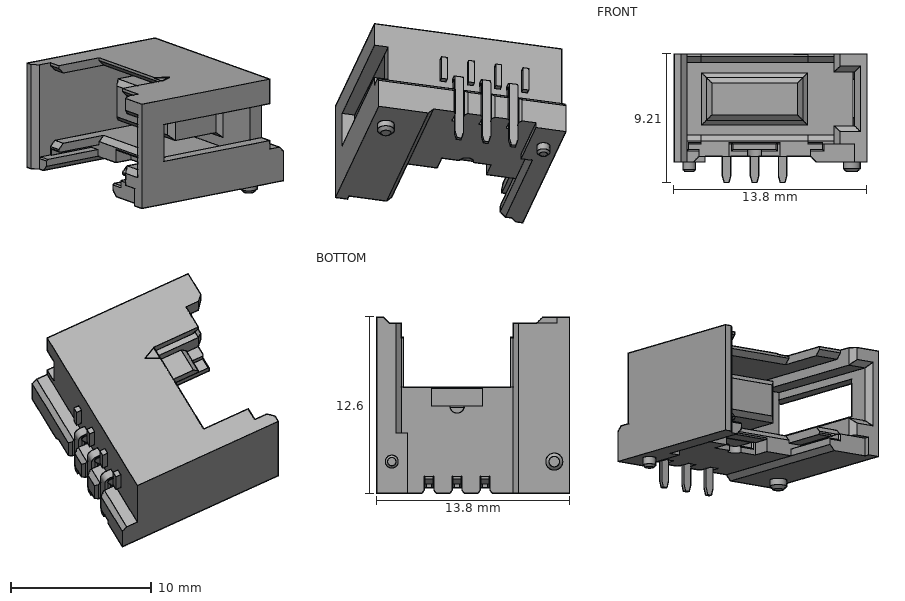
import cadquery as cq

WIDTH = 13.8
DEPTH = 12.6
HEIGHT = 7.73
UPPER_DEPTH = 11.38
BASE_HEIGHT = 2.55
BASE_CHAMFER = 0.36

CAVITY_LEFT = 0.92
CAVITY_RIGHT = 11.44
CAVITY_BACK = 10.35
FLOOR_Z = 1.92
CEILING_Z = 7.12
ENTRY_CHAMFER = 0.43
PLATE_BEVEL = 0.4

PLATE_FRONT = 1.41
NOTCH_LEFT = 1.93
NOTCH_RIGHT = 9.56
NOTCH_BACK = 5.0

KEY_X = 12.9
KEY_DRAFT = 0.11
KEY_FLARE = 0.4
KEY_BOTTOM = 2.58
KEY_TOP = 6.45
WINDOW_FRONT = 1.97
WINDOW_BOTTOM = 3.17
WINDOW_TOP = 5.9

TONGUE_LEFT = 1.97
TONGUE_RIGHT = 9.55
TONGUE_BOTTOM = 2.64
TONGUE_TOP = 6.38
TONGUE_FRONT = 5.99
ROOT_BEVEL = 0.35
TIP_BEVEL = 0.39

SLOT_BOTTOM = 0.9
SLOT_TOP = 1.3
SLOT_LEFT = 1.04
SLOT_RIGHT = 10.6
SLOT_LEAD = 0.104
RAIL_LEFT = 1.78
RAIL_RIGHT = 9.75
RAIL_CHAMFER = 0.39
BELLY_Z = 0.4
FOOT_RIGHT = 2.22
FOOT_FRONT = 8.28

POCKET_WIDTH = 3.63
POCKET_BACK = 6.35
SHELL_SLOT_WIDTH = 3.08
SHELL_SLOT_BACK = 8.28
RELIEF_RADIUS = 0.51

PIN_CENTER_X = 5.75
PIN_PITCH = 2.0
PIN_WIDTH = 0.62
PIN_THICKNESS = 0.26
PIN_BACK = 12.2
PIN_TOP = 3.89
PIN_BOTTOM = -1.48
PIN_BEND = 0.44
PIN_TIP_WIDTH = 0.35
PIN_TIP_LENGTH = 0.5
PIN_X = [PIN_CENTER_X + i * PIN_PITCH for i in (-1, 0, 1)]

PIN_NOTCH_WIDTH = 0.68
NOTCH_FLARE = 0.18
NOTCH_FLARE_DEPTH = 0.23
SUPPORT_WIDTH = 0.55
SUPPORT_FOOT = 0.2
RIB_WIDTH = 0.43
RIB_DEPTH = 0.4
RIB_TOP = 5.44
RIB_BOTTOM = 3.62
FIRST_RIB_X = PIN_X[0] - PIN_PITCH / 2
RIB_X = [FIRST_RIB_X + i * PIN_PITCH for i in range(len(PIN_X) + 1)]

POST_Y = 10.32
POST_LENGTH = 0.69
RIGHT_POST_X = 12.7
RIGHT_POST_DIAMETER = 1.21
RIGHT_POST_CHAMFER = 0.23
LEFT_POST_X = 1.09
LEFT_POST_DIAMETER = 0.92
LEFT_POST_CHAMFER = 0.17

MARK_WIDTH = 1.01
MARK_LENGTH = 1.0
MARK_DEPTH = 0.05


def box(x0, x1, y0, y1, z0, z1):
    """Box between two opposite corners."""
    return cq.Workplane("XY").box(x1 - x0, y1 - y0, z1 - z0, centered=False).translate((x0, y0, z0))


def along_x(points, x0, x1):
    """Prism with a (y, z) outline between two x positions."""
    return cq.Workplane("YZ").workplane(offset=x0).polyline(points).close().extrude(x1 - x0)


def along_z(points, z0, z1):
    """Prism with an (x, y) outline between two heights."""
    return cq.Workplane("XY").workplane(offset=z0).polyline(points).close().extrude(z1 - z0)


def along_y(points, y0, y1):
    """Prism with an (x, z) outline between two y positions."""
    return cq.Workplane("XZ").workplane(offset=-y0).polyline(points).close().extrude(y0 - y1)


def funnel(x0, x1, z0, z1, y0, y1, spread):
    """Tapered block: the given size at y1 and larger by spread on every side at y0."""
    center = ((x0 + x1) / 2, (z0 + z1) / 2)
    width = x1 - x0
    height = z1 - z0
    return (
        cq.Workplane("XZ", origin=(0, y0, 0))
        .center(*center)
        .rect(width + 2 * spread, height + 2 * spread)
        .workplane(offset=y0 - y1)
        .rect(width, height)
        .loft(ruled=True)
    )


def outer_block():
    """Side profile: tall body with a lower base ledge at the back."""
    return along_x(
        [
            (0, 0),
            (DEPTH, 0),
            (DEPTH, BASE_HEIGHT - BASE_CHAMFER),
            (DEPTH - BASE_CHAMFER, BASE_HEIGHT),
            (UPPER_DEPTH, BASE_HEIGHT),
            (UPPER_DEPTH, HEIGHT),
            (0, HEIGHT),
        ],
        0,
        WIDTH,
    )


def plate_opening(front_y, x0, x1):
    """Space in front of the floor and ceiling plates, with bevels leading into the cavity."""
    lower = FLOOR_Z - PLATE_BEVEL
    upper = CEILING_Z + PLATE_BEVEL
    return along_x(
        [
            (0, SLOT_TOP),
            (front_y, SLOT_TOP),
            (front_y, lower),
            (front_y + PLATE_BEVEL, FLOOR_Z),
            (front_y + PLATE_BEVEL, CEILING_Z),
            (front_y, upper),
            (front_y, HEIGHT),
            (0, HEIGHT),
        ],
        x0,
        x1,
    )


def cavity():
    """Main cavity, plate openings and the flared front entry."""
    main = box(CAVITY_LEFT, CAVITY_RIGHT, 0, CAVITY_BACK, FLOOR_Z, CEILING_Z)
    edge = plate_opening(PLATE_FRONT, CAVITY_LEFT, CAVITY_RIGHT)
    notch = plate_opening(NOTCH_BACK, NOTCH_LEFT, NOTCH_RIGHT)
    flare = along_z(
        [
            (CAVITY_LEFT - ENTRY_CHAMFER, 0),
            (CAVITY_RIGHT + ENTRY_CHAMFER, 0),
            (CAVITY_RIGHT, ENTRY_CHAMFER),
            (CAVITY_LEFT, ENTRY_CHAMFER),
        ],
        0,
        HEIGHT,
    )
    return main.union(edge).union(notch).union(flare)


def keyway():
    """Guide groove in the right wall with a flared mouth, a side window and a rear outlet."""
    inner_x = (CAVITY_LEFT + CAVITY_RIGHT) / 2
    back_x = KEY_X - KEY_DRAFT
    groove = along_z(
        [(inner_x, 0), (KEY_X, 0), (back_x, CAVITY_BACK), (inner_x, CAVITY_BACK)],
        KEY_BOTTOM,
        KEY_TOP,
    )
    mouth = funnel(inner_x, KEY_X, KEY_BOTTOM, KEY_TOP, 0, ENTRY_CHAMFER, KEY_FLARE)
    window = box(back_x, WIDTH, WINDOW_FRONT, UPPER_DEPTH, WINDOW_BOTTOM, WINDOW_TOP)
    return groove.union(mouth).union(window)


def tongue():
    """Straight tongue with a bevelled tip and a bevelled root."""
    x0 = TONGUE_LEFT + ROOT_BEVEL
    x1 = TONGUE_RIGHT - ROOT_BEVEL
    z0 = TONGUE_BOTTOM + ROOT_BEVEL
    z1 = TONGUE_TOP - ROOT_BEVEL
    shoulder = TONGUE_FRONT + TIP_BEVEL
    shank = box(x0, x1, shoulder, CAVITY_BACK, z0, z1)
    root = funnel(x0, x1, z0, z1, CAVITY_BACK, CAVITY_BACK - ROOT_BEVEL, ROOT_BEVEL)
    tip = funnel(
        x0 + TIP_BEVEL, x1 - TIP_BEVEL, z0 + TIP_BEVEL, z1 - TIP_BEVEL, shoulder, TONGUE_FRONT, TIP_BEVEL
    )
    return shank.union(root).union(tip)


def underside():
    """Space between the rails, the slot above them and the recess at the rail fronts."""
    between = box(RAIL_LEFT, RAIL_RIGHT, 0, NOTCH_BACK, 0, SLOT_TOP)
    belly = along_y(
        [
            (RAIL_LEFT - RAIL_CHAMFER, 0),
            (RAIL_RIGHT + RAIL_CHAMFER, 0),
            (RAIL_RIGHT, BELLY_Z),
            (RAIL_LEFT, BELLY_Z),
        ],
        0,
        DEPTH,
    )
    foot = box(0, FOOT_RIGHT, FOOT_FRONT, DEPTH, 0, BELLY_Z)
    slot = box(SLOT_LEFT, SLOT_RIGHT, 0, NOTCH_BACK, SLOT_BOTTOM, SLOT_TOP)
    rail_top = box(CAVITY_LEFT, SLOT_LEFT, 0, PLATE_FRONT, SLOT_BOTTOM, SLOT_TOP)
    recess = box(CAVITY_LEFT, KEY_X, 0, ENTRY_CHAMFER, 0, SLOT_TOP)
    rail_lead = funnel(
        SLOT_LEFT, SLOT_RIGHT, SLOT_BOTTOM, SLOT_TOP, ENTRY_CHAMFER, ENTRY_CHAMFER + SLOT_LEAD, SLOT_LEAD
    )
    plate_lead = along_x(
        [
            (PLATE_FRONT, SLOT_TOP),
            (PLATE_FRONT, SLOT_TOP + SLOT_LEAD),
            (PLATE_FRONT + SLOT_LEAD, SLOT_TOP),
        ],
        SLOT_LEFT,
        SLOT_RIGHT,
    )
    space = between.union(belly.cut(foot)).union(slot).union(rail_top).union(recess)
    return space.union(rail_lead).union(plate_lead)


def floor_pocket():
    """Pocket below the floor front with a deeper shell slot, its lead-in and a round relief."""
    x0 = PIN_CENTER_X - POCKET_WIDTH / 2
    x1 = PIN_CENTER_X + POCKET_WIDTH / 2
    pocket = along_x(
        [
            (NOTCH_BACK, 0),
            (NOTCH_BACK, SLOT_TOP + SLOT_LEAD),
            (NOTCH_BACK + SLOT_LEAD, SLOT_TOP),
            (POCKET_BACK, SLOT_TOP),
            (POCKET_BACK, 0),
        ],
        x0,
        x1,
    )
    slot_x0 = PIN_CENTER_X - SHELL_SLOT_WIDTH / 2
    slot_x1 = PIN_CENTER_X + SHELL_SLOT_WIDTH / 2
    slot = box(slot_x0, slot_x1, POCKET_BACK, SHELL_SLOT_BACK, SLOT_BOTTOM, SLOT_TOP)
    lead = funnel(
        slot_x0, slot_x1, SLOT_BOTTOM, SLOT_TOP, POCKET_BACK, POCKET_BACK + SLOT_LEAD, SLOT_LEAD
    )
    relief = (
        cq.Workplane("XY", origin=(PIN_CENTER_X, POCKET_BACK, BELLY_Z))
        .circle(RELIEF_RADIUS)
        .extrude(SLOT_BOTTOM - BELLY_Z)
    )
    return pocket.union(slot).union(lead).union(relief)


def pin_notch(x):
    """Flared notch through the base ledge behind a pin."""
    half = PIN_NOTCH_WIDTH / 2
    flare_y = DEPTH - NOTCH_FLARE_DEPTH
    return along_z(
        [
            (x - half, UPPER_DEPTH),
            (x + half, UPPER_DEPTH),
            (x + half, flare_y),
            (x + half + NOTCH_FLARE, DEPTH),
            (x - half - NOTCH_FLARE, DEPTH),
            (x - half, flare_y),
        ],
        0,
        BASE_HEIGHT,
    )


def pin(x):
    """Pin leaving the back wall, bending down and ending in a tapered tip."""
    inner_y = PIN_BACK - PIN_THICKNESS
    inner_bend = PIN_BEND - PIN_THICKNESS
    bend_y = PIN_BACK - PIN_BEND
    bend_z = PIN_TOP - PIN_BEND
    side = (
        cq.Workplane("YZ", origin=(x - PIN_WIDTH / 2, 0, 0))
        .moveTo(CAVITY_BACK, PIN_TOP)
        .lineTo(bend_y, PIN_TOP)
        .radiusArc((PIN_BACK, bend_z), PIN_BEND)
        .lineTo(PIN_BACK, PIN_BOTTOM)
        .lineTo(inner_y, PIN_BOTTOM)
        .lineTo(inner_y, bend_z)
        .radiusArc((bend_y, PIN_TOP - PIN_THICKNESS), -inner_bend)
        .lineTo(CAVITY_BACK, PIN_TOP - PIN_THICKNESS)
        .close()
        .extrude(PIN_WIDTH)
    )
    half = PIN_WIDTH / 2
    half_tip = PIN_TIP_WIDTH / 2
    taper_z = PIN_BOTTOM + PIN_TIP_LENGTH
    face = along_y(
        [
            (x - half, PIN_TOP),
            (x + half, PIN_TOP),
            (x + half, taper_z),
            (x + half_tip, PIN_BOTTOM),
            (x - half_tip, PIN_BOTTOM),
            (x - half, taper_z),
        ],
        CAVITY_BACK,
        PIN_BACK,
    )
    return side.intersect(face)


def pin_support(x):
    """Wedge on the back wall that carries the pin bend."""
    top_z = PIN_TOP - PIN_THICKNESS
    inner_y = PIN_BACK - PIN_THICKNESS
    bend_y = PIN_BACK - PIN_BEND
    inner_bend = PIN_BEND - PIN_THICKNESS
    return (
        cq.Workplane("YZ", origin=(x - SUPPORT_WIDTH / 2, 0, 0))
        .moveTo(UPPER_DEPTH, BASE_HEIGHT)
        .lineTo(UPPER_DEPTH + SUPPORT_FOOT, BASE_HEIGHT)
        .lineTo(inner_y, top_z - 2 * inner_bend)
        .lineTo(inner_y, top_z - inner_bend)
        .radiusArc((bend_y, top_z), -inner_bend)
        .lineTo(UPPER_DEPTH, top_z)
        .close()
        .extrude(SUPPORT_WIDTH)
    )


def back_rib(x):
    """Short vertical rib on the back wall, beside the pins."""
    return box(
        x - RIB_WIDTH / 2, x + RIB_WIDTH / 2, UPPER_DEPTH, UPPER_DEPTH + RIB_DEPTH, RIB_BOTTOM, RIB_TOP
    )


def post(x, diameter, chamfer):
    """Locating post below the housing with a chamfered end."""
    return (
        cq.Workplane("XY", origin=(x, POST_Y, 0))
        .circle(diameter / 2)
        .extrude(-POST_LENGTH)
        .faces("<Z")
        .chamfer(chamfer)
    )


def pin_mark():
    """Shallow triangle at the right end of the ceiling notch."""
    return along_z(
        [
            (NOTCH_RIGHT - MARK_WIDTH, NOTCH_BACK),
            (NOTCH_RIGHT, NOTCH_BACK),
            (NOTCH_RIGHT - MARK_WIDTH / 2, NOTCH_BACK + MARK_LENGTH),
        ],
        HEIGHT - MARK_DEPTH,
        HEIGHT,
    )


housing = outer_block().cut(cavity()).cut(keyway()).cut(underside()).cut(floor_pocket()).cut(pin_mark())
housing = housing.union(tongue())

for pin_x in PIN_X:
    housing = housing.cut(pin_notch(pin_x)).union(pin_support(pin_x)).union(pin(pin_x))

for rib_x in RIB_X:
    housing = housing.union(back_rib(rib_x))

housing = housing.union(post(LEFT_POST_X, LEFT_POST_DIAMETER, LEFT_POST_CHAMFER))
housing = housing.union(post(RIGHT_POST_X, RIGHT_POST_DIAMETER, RIGHT_POST_CHAMFER))

result = housing